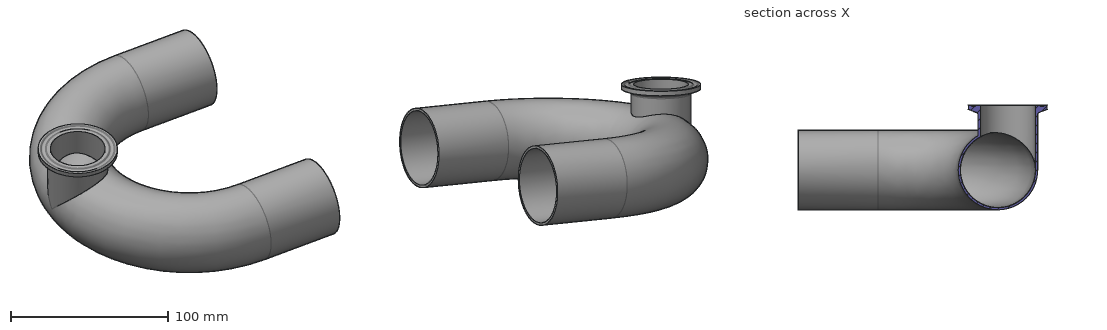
import cadquery as cq

overall_width = 203.2
tube_diameter = 50.8
tube_bore = 47.5
leg_length = 50.8
bend_radius = (overall_width - tube_diameter) / 2

port_diameter = 38.2
port_bore = 34.7
port_top = 41.2
port_y = -(overall_width - port_diameter) / 2

flange_diameter = 50.4
flange_rim = 2.8
flange_taper = 2.2
flange_root_fillet = 1.2
flange_root_height = port_top - flange_rim - flange_taper

groove_diameter = 43.7
groove_radius = 1.8
groove_depth = 0.8
groove_lip_fillet = 0.8


def bent_tube(diameter):
    """Solid U of round section: two straight legs joined by a half-circle bend."""
    path = (
        cq.Workplane("XY")
        .moveTo(-bend_radius, leg_length)
        .lineTo(-bend_radius, 0)
        .threePointArc((0, -bend_radius), (bend_radius, 0))
        .lineTo(bend_radius, leg_length)
    )
    section = cq.Workplane("XZ", origin=(-bend_radius, leg_length, 0)).circle(diameter / 2)
    return section.sweep(path)


def port_cylinder(diameter):
    """Upright cylinder from the tube centre line to the flange face."""
    return cq.Workplane("XY").center(0, port_y).circle(diameter / 2).extrude(port_top)


def flange():
    """Thin rim with a tapered underside that meets the port wall."""
    profile = [
        (0, port_top),
        (flange_diameter / 2, port_top),
        (flange_diameter / 2, port_top - flange_rim),
        (port_diameter / 2, flange_root_height),
        (0, flange_root_height),
    ]
    outline = cq.Workplane("XZ", origin=(0, port_y, 0)).polyline(profile).close()
    return outline.revolve(360, (0, 0, 0), (0, 1, 0))


def groove_ring():
    """Torus whose lowest part cuts the groove in the flange face."""
    centre_height = port_top - groove_depth + groove_radius
    ring = cq.Solid.makeTorus(
        groove_diameter / 2, groove_radius, cq.Vector(0, port_y, centre_height)
    )
    return cq.Workplane(ring)


def clamp_port():
    """Port tube and grooved flange, still solid inside."""
    blank = port_cylinder(port_diameter).union(flange())
    root_circle = blank.edges("%CIRCLE").edges(cq.selectors.RadiusNthSelector(0)).edges(">Z")
    grooved = root_circle.fillet(flange_root_fillet).cut(groove_ring())

    lips = grooved.edges(">Z").edges(cq.selectors.RadiusNthSelector(0) + cq.selectors.RadiusNthSelector(1))
    return lips.fillet(groove_lip_fillet)


result = (
    bent_tube(tube_diameter)
    .union(clamp_port())
    .cut(bent_tube(tube_bore))
    .cut(port_cylinder(port_bore))
)